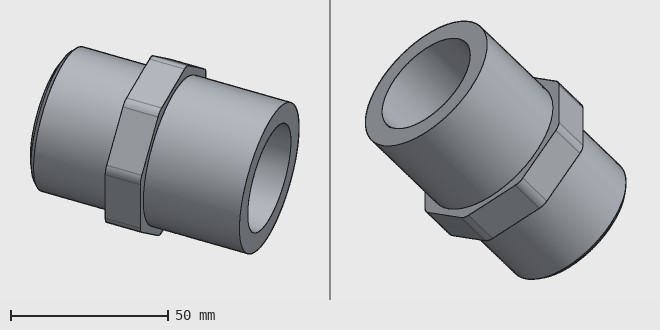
import cadquery as cq
import math

total_length = 74.0
lip_length = 1.4
collar_start = 28.9
collar_width = 12.05
collar_end = collar_start + collar_width

bore_diameter = 36.2
lip_diameter = 39.3
spigot_diameter = 47.8
sleeve_diameter = 50.0

collar_across_flats = 55.0
collar_corner_radius = 4.3
spigot_chamfer = 1.5

collar_sides = 8
half_side_angle = 180.0 / collar_sides
collar_across_corners = collar_across_flats / math.cos(math.radians(half_side_angle))


def cylinder_along_x(diameter, start, end):
    """Solid cylinder on the X axis between two X positions."""
    return cq.Workplane("YZ", origin=(start, 0, 0)).circle(diameter / 2).extrude(end - start)


def octagonal_collar():
    """Wrench collar with flats facing Y and Z and rounded corners."""
    return (
        cq.Workplane("YZ", origin=(collar_start, 0, 0))
        .transformed(rotate=(0, 0, half_side_angle))
        .polygon(collar_sides, collar_across_corners)
        .extrude(collar_width)
        .edges("|X")
        .fillet(collar_corner_radius)
    )


lip = cylinder_along_x(lip_diameter, 0, lip_length)
spigot = (
    cylinder_along_x(spigot_diameter, lip_length, collar_start)
    .faces("<X")
    .chamfer(spigot_chamfer)
)
sleeve = cylinder_along_x(sleeve_diameter, collar_end, total_length)
bore = cylinder_along_x(bore_diameter, 0, total_length)

result = lip.union(spigot).union(octagonal_collar()).union(sleeve).cut(bore)